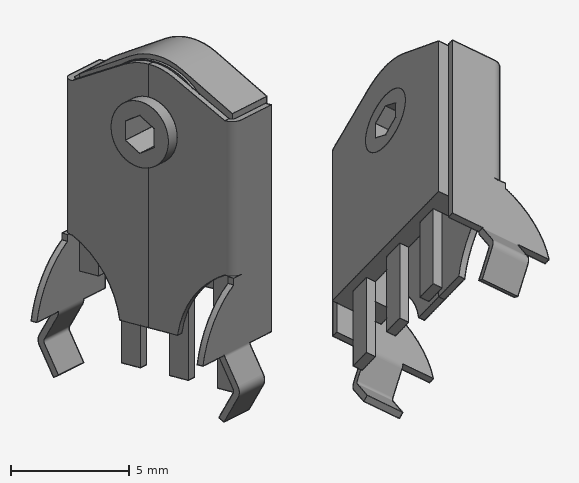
import cadquery as cq
import math


axis_z = 9.0
body_half_width = 3.99

housing_depth = 2.5
housing_bottom_z = 1.5
housing_shoulder_z = 10.48
housing_top_z = 12.22
housing_crown_radius = 2.84
recess_depth = 1.65

pin_width = 1.0
pin_thickness = 0.46
pin_bottom_z = -2.98
pin_count = 3

disc_diameter = 6.0
hub_diameter = 3.0
disc_front_y = -0.15
hub_front_y = -1.18
hex_across_flats = 1.5
hex_sides = 6

sheet = 0.3
bend_inner_radius = 0.2
bend_outer_radius = bend_inner_radius + sheet
panel_front_y = -0.53
panel_back_y = panel_front_y + sheet
panel_shoulder_z = 10.33
panel_top_z = 12.0
panel_crown_radius = 2.84
panel_foot_half_width = 1.51
fold_bottom_z = 3.3
scallop_radius = 4.4

wing_outer_x = body_half_width + bend_outer_radius
wing_inner_x = wing_outer_x - sheet
wing_back_y = 2.14
wing_neck_y = -0.6
wing_neck_z = 3.0
wing_tip_y = -2.83
wing_arc_radius = scallop_radius

clip_width = 1.83
clip_center_y = -0.34
clip_angle = 30.0
clip_upper_length = 1.35
clip_lower_length = 1.48

pin_pitch = (disc_diameter - pin_width) / 2


def box(x_min, x_max, y_min, y_max, z_min, z_max):
    size = (x_max - x_min, y_max - y_min, z_max - z_min)
    return cq.Workplane("XY").box(*size, centered=False).translate((x_min, y_min, z_min))


def cylinder_along_y(diameter, y_front, y_back):
    """Cylinder on the rotor axis between two depths."""
    front = cq.Workplane("XZ", origin=(0, y_front, axis_z))
    return front.circle(diameter / 2).extrude(y_front - y_back)


def crown_tangent_point(top_z, radius, shoulder_z):
    """Point where the straight roof from the +X shoulder touches the crown arc."""
    center_z = top_z - radius
    rise = shoulder_z - center_z
    distance = math.hypot(body_half_width, rise)
    angle = math.atan2(rise, body_half_width) + math.acos(radius / distance)
    return radius * math.cos(angle), center_z + radius * math.sin(angle)


def make_housing():
    tangent_x, tangent_z = crown_tangent_point(housing_top_z, housing_crown_radius, housing_shoulder_z)
    block = (
        cq.Workplane("XZ")
        .moveTo(-body_half_width, housing_bottom_z)
        .lineTo(body_half_width, housing_bottom_z)
        .lineTo(body_half_width, housing_shoulder_z)
        .lineTo(tangent_x, tangent_z)
        .threePointArc((0, housing_top_z), (-tangent_x, tangent_z))
        .lineTo(-body_half_width, housing_shoulder_z)
        .close()
        .extrude(-housing_depth)
    )

    recess_half_width = disc_diameter / 2
    disc_pocket = cylinder_along_y(disc_diameter, 0, recess_depth)
    slot = box(-recess_half_width, recess_half_width, 0, recess_depth, housing_bottom_z, axis_z)
    hub_hole = cylinder_along_y(hub_diameter, 0, housing_depth)
    housing = block.cut(disc_pocket).cut(slot).cut(hub_hole)

    for index in range(pin_count):
        center_x = (index - (pin_count - 1) / 2) * pin_pitch
        pin = box(
            center_x - pin_width / 2,
            center_x + pin_width / 2,
            recess_depth,
            recess_depth + pin_thickness,
            pin_bottom_z,
            housing_bottom_z,
        )
        housing = housing.union(pin)
    return housing


def make_rotor():
    disc = cylinder_along_y(disc_diameter, disc_front_y, recess_depth)
    hub = cylinder_along_y(hub_diameter, hub_front_y, housing_depth)
    hex_across_corners = hex_across_flats / math.cos(math.pi / hex_sides)
    hex_hole = (
        cq.Workplane("XZ", origin=(0, hub_front_y, axis_z))
        .transformed(rotate=(0, 0, 90))
        .polygon(hex_sides, hex_across_corners)
        .extrude(hub_front_y - housing_depth)
    )
    return disc.union(hub).cut(hex_hole)


def make_panel():
    """+X half of the front panel, with the hub hole."""
    tangent_x, tangent_z = crown_tangent_point(panel_top_z, panel_crown_radius, panel_shoulder_z)
    panel = (
        cq.Workplane("XZ", origin=(0, panel_front_y, 0))
        .lineTo(panel_foot_half_width, 0)
        .radiusArc((body_half_width, fold_bottom_z), scallop_radius)
        .lineTo(body_half_width, panel_shoulder_z)
        .lineTo(tangent_x, tangent_z)
        .radiusArc((0, panel_top_z), -panel_crown_radius)
        .close()
        .extrude(-sheet)
    )
    return panel.cut(cylinder_along_y(hub_diameter, panel_front_y, panel_back_y))


def make_fold():
    """Quarter-round bend between the panel and the wing."""
    center_y = panel_front_y + bend_outer_radius
    return (
        cq.Workplane("XY", origin=(0, 0, fold_bottom_z))
        .moveTo(body_half_width, panel_front_y)
        .radiusArc((wing_outer_x, center_y), -bend_outer_radius)
        .lineTo(wing_inner_x, center_y)
        .radiusArc((body_half_width, panel_back_y), bend_inner_radius)
        .close()
        .extrude(panel_shoulder_z - fold_bottom_z)
    )


def make_wing():
    """Side plate with a curved fin that reaches forward at its lower end."""
    fold_end_y = panel_front_y + bend_outer_radius
    return (
        cq.Workplane("YZ", origin=(wing_inner_x, 0, 0))
        .moveTo(wing_back_y, 0)
        .lineTo(wing_back_y, panel_shoulder_z)
        .lineTo(fold_end_y, panel_shoulder_z)
        .lineTo(fold_end_y, fold_bottom_z)
        .lineTo(wing_neck_y, fold_bottom_z)
        .lineTo(wing_neck_y, wing_neck_z)
        .radiusArc((wing_tip_y, 0), -wing_arc_radius)
        .close()
        .extrude(sheet)
    )


def make_clip():
    """Spring leg below the wing: bent outward, then back inward."""
    slope_x = math.sin(math.radians(clip_angle))
    slope_z = math.cos(math.radians(clip_angle))
    half_slope_x = math.sin(math.radians(clip_angle / 2))
    half_slope_z = math.cos(math.radians(clip_angle / 2))
    root_x = wing_outer_x + bend_inner_radius

    def on_root_bend(radius):
        return root_x - radius * slope_z, -radius * slope_x

    def root_bend_middle(radius):
        return root_x - radius * half_slope_z, -radius * half_slope_x

    root_end_x, root_end_z = on_root_bend(bend_inner_radius)
    knee_x = root_end_x + clip_upper_length * slope_x - bend_outer_radius * slope_z
    knee_z = root_end_z - clip_upper_length * slope_z - bend_outer_radius * slope_x

    def on_knee(radius, side):
        return knee_x + radius * slope_z, knee_z + side * radius * slope_x

    def leg_end(radius):
        start_x, start_z = on_knee(radius, -1)
        return start_x - clip_lower_length * slope_x, start_z - clip_lower_length * slope_z

    return (
        cq.Workplane("XZ", origin=(0, clip_center_y - clip_width / 2, 0))
        .moveTo(wing_outer_x, 0)
        .threePointArc(root_bend_middle(bend_inner_radius), on_root_bend(bend_inner_radius))
        .lineTo(*on_knee(bend_outer_radius, 1))
        .threePointArc((knee_x + bend_outer_radius, knee_z), on_knee(bend_outer_radius, -1))
        .lineTo(*leg_end(bend_outer_radius))
        .lineTo(*leg_end(bend_inner_radius))
        .lineTo(*on_knee(bend_inner_radius, -1))
        .threePointArc((knee_x + bend_inner_radius, knee_z), on_knee(bend_inner_radius, 1))
        .lineTo(*on_root_bend(bend_outer_radius))
        .threePointArc(root_bend_middle(bend_outer_radius), (wing_inner_x, 0))
        .close()
        .extrude(-clip_width)
    )


def make_bracket_half(side):
    """One half of the bracket: side is +1 for +X, -1 for -X."""
    half = make_panel().union(make_fold()).union(make_wing()).union(make_clip())
    return half if side > 0 else half.mirror("YZ")


housing = make_housing()
rotor = make_rotor()
bracket_halves = [make_bracket_half(side) for side in (-1, 1)]

result = cq.Compound.makeCompound(
    [housing.val(), rotor.val(), *[half.val() for half in bracket_halves]]
)